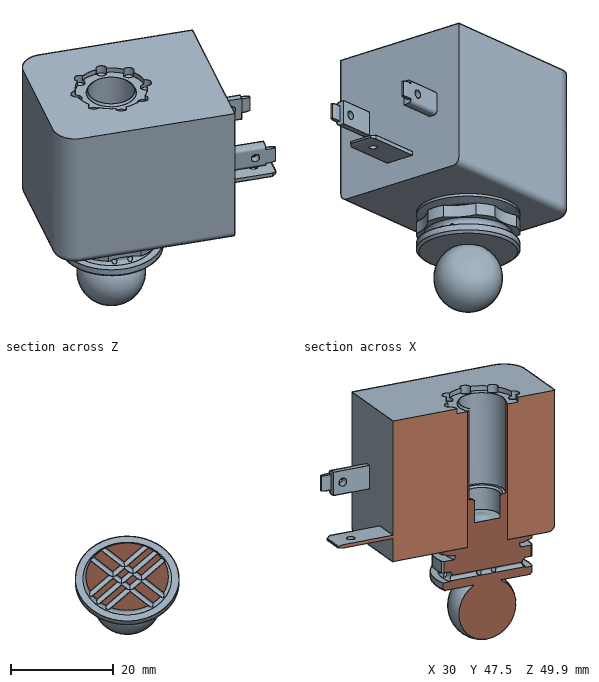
import math

import cadquery as cq


block_width = 30.0
block_height = 29.55
block_front_y = -14.8
block_back_y = 20.75
corner_radius = 4.5
bottom_fillet = 1.45

recess_diameter = 14.05
recess_depth = 1.0
rim_hole_diameter = 2.1
rim_hole_depth = 1.7
rim_hole_count = 8

blade_thickness = 0.8
blade_hole_diameter = 1.65
blade_tip_length = 0.95
blade_tip_thickness = 0.4

center_blade_width = 6.35
center_blade_tip_width = 5.0
center_blade_z = 5.25
center_blade_end_y = 32.65
center_blade_hole_y = 28.8

side_blade_width = 3.25
side_blade_tip_width = 3.1
side_blade_outer_x = 9.45
side_blade_z = 14.25
side_blade_end_y = 30.65
side_blade_hole_y = 26.55

support_thickness = 1.8
support_height = 4.9
support_end_y = 28.65
support_fillet = blade_thickness

flange_diameter = 20.2
collar_rim_z = -0.55
collar_base_z = -1.15
collar_base_diameter = 16.45
neck_diameter = 14.9
neck_foot_diameter = 15.4
nut_top_z = -1.95
nut_bottom_z = -4.4
groove_diameter = 16.0
groove_edge_diameter = 17.25
flange_top_z = -6.4
flange_bottom_z = -8.15
flange_chamfer = 0.5
ball_diameter = 13.4
overall_height = 49.9
ball_bottom_z = block_height - overall_height

land_count = 6
land_width = 3.95
scallop_depth = 0.6

cross_hole_diameter = 1.0
cross_hole_z = -5.75
holes_along_y_count = 3
holes_along_y_pitch = 2.3
holes_along_x_count = 2
holes_along_x_pitch = 3.2

tube_diameter = 9.8
bore_diameter = 9.2
lip_height = 0.5
bore_floor_z = 10.0
inner_mouth_diameter = 8.0
inner_bore_diameter = 7.2
inner_bore_floor_z = 5.0
dome_diameter = 4.1
dome_height = 0.2

recess_floor_z = block_height - recess_depth


def blade(width, tip_width, end_y, hole_y):
    """Flat terminal lying in the XY plane, with a tapered tip and a cross hole."""
    body_length = end_y - blade_tip_length - block_back_y
    body = (
        cq.Workplane("XZ", origin=(0, block_back_y, 0))
        .rect(width, blade_thickness)
        .extrude(-body_length)
    )
    tip = (
        cq.Workplane("XZ", origin=(0, end_y, 0))
        .rect(tip_width, blade_tip_thickness)
        .workplane(offset=blade_tip_length)
        .rect(width, blade_thickness)
        .loft(ruled=True)
    )
    hole = (
        cq.Workplane("XY", origin=(0, hole_y, 0))
        .circle(blade_hole_diameter / 2)
        .extrude(blade_thickness, both=True)
    )
    return body.union(tip).cut(hole)


def side_terminal(side):
    """Upright blade flush with the outer face of its support; side is -1 or +1."""
    blade_x = side * (side_blade_outer_x - blade_thickness / 2)
    upright = (
        blade(side_blade_width, side_blade_tip_width, side_blade_end_y, side_blade_hole_y)
        .rotate((0, 0, 0), (0, 1, 0), 90)
        .translate((blade_x, 0, side_blade_z))
    )
    support_x = side * (side_blade_outer_x - support_thickness / 2)
    support = (
        cq.Workplane("XZ", origin=(support_x, block_back_y, side_blade_z))
        .rect(support_thickness, support_height)
        .extrude(block_back_y - support_end_y)
        .faces(">X" if side > 0 else "<X")
        .edges("|Y")
        .fillet(support_fillet)
    )
    hole = (
        cq.Workplane("YZ", origin=(support_x, side_blade_hole_y, side_blade_z))
        .circle(blade_hole_diameter / 2)
        .extrude(support_thickness, both=True)
    )
    return upright.union(support).cut(hole)


def make_block():
    """Coil block with its terminals, top recess and the hole for the tube."""
    block = (
        cq.Workplane("XY")
        .center(0, (block_front_y + block_back_y) / 2)
        .rect(block_width, block_back_y - block_front_y)
        .extrude(block_height)
        .edges("|Z and <Y")
        .fillet(corner_radius)
    )
    block = block.faces("<Z").edges("not >Y").fillet(bottom_fillet)

    recess = (
        cq.Workplane("XY", origin=(0, 0, recess_floor_z))
        .circle(recess_diameter / 2)
        .extrude(recess_depth)
    )
    rim_holes = (
        cq.Workplane("XY", origin=(0, 0, block_height))
        .polarArray(recess_diameter / 2, 0, 360, rim_hole_count)
        .circle(rim_hole_diameter / 2)
        .extrude(-rim_hole_depth)
    )
    tube_hole = cq.Workplane("XY").circle(tube_diameter / 2).extrude(block_height)
    block = block.cut(recess).cut(rim_holes).cut(tube_hole)

    center_terminal = blade(
        center_blade_width, center_blade_tip_width, center_blade_end_y, center_blade_hole_y
    ).translate((0, 0, center_blade_z))
    block = block.union(center_terminal)
    for side in (-1, 1):
        block = block.union(side_terminal(side))
    return block


def cove_point(waist_radius, foot_radius, waist_z, foot_z):
    """Point on the cove arc that leaves the waist parallel to the axis and ends at the foot."""
    height = waist_z - foot_z
    flare = foot_radius - waist_radius
    arc_radius = (height**2 + flare**2) / (2 * flare)
    half_height = height / 2
    return (waist_radius + arc_radius - math.sqrt(arc_radius**2 - half_height**2), waist_z - half_height)


def dome_point():
    """Point halfway out on the spherical dome at the foot of the bore."""
    rim_radius = dome_diameter / 2
    sphere_radius = (rim_radius**2 + dome_height**2) / (2 * dome_height)
    point_radius = rim_radius / 2
    drop = sphere_radius - math.sqrt(sphere_radius**2 - point_radius**2)
    return (point_radius, inner_bore_floor_z + dome_height - drop)


def turned_plug():
    """Revolved shape of tube, collar, necks, flange and ball, without nut."""
    groove_mid_z = (nut_bottom_z + flange_top_z) / 2
    ball_radius = ball_diameter / 2
    ball_center_z = ball_bottom_z + ball_radius
    ball_top_radius = math.sqrt(ball_radius**2 - (flange_bottom_z - ball_center_z) ** 2)
    neck_arc_point = cove_point(neck_diameter / 2, neck_foot_diameter / 2, collar_base_z, nut_top_z)
    dome_arc_point = dome_point()
    inner_chamfer = (inner_mouth_diameter - inner_bore_diameter) / 2
    return (
        cq.Workplane("XZ")
        .moveTo(0, ball_bottom_z)
        .threePointArc((ball_radius, ball_center_z), (ball_top_radius, flange_bottom_z))
        .lineTo(flange_diameter / 2 - flange_chamfer, flange_bottom_z)
        .lineTo(flange_diameter / 2, flange_bottom_z + flange_chamfer)
        .lineTo(flange_diameter / 2, flange_top_z)
        .lineTo(groove_edge_diameter / 2, flange_top_z)
        .threePointArc(
            (groove_diameter / 2, groove_mid_z),
            (groove_edge_diameter / 2, nut_bottom_z),
        )
        .lineTo(neck_foot_diameter / 2, nut_top_z)
        .threePointArc(neck_arc_point, (neck_diameter / 2, collar_base_z))
        .lineTo(collar_base_diameter / 2, collar_base_z)
        .lineTo(flange_diameter / 2, collar_rim_z)
        .lineTo(flange_diameter / 2, 0)
        .lineTo(tube_diameter / 2, 0)
        .lineTo(tube_diameter / 2, recess_floor_z)
        .lineTo(bore_diameter / 2, recess_floor_z + lip_height)
        .lineTo(bore_diameter / 2, bore_floor_z)
        .lineTo(inner_mouth_diameter / 2, bore_floor_z)
        .lineTo(inner_bore_diameter / 2, bore_floor_z - inner_chamfer)
        .lineTo(inner_bore_diameter / 2, inner_bore_floor_z)
        .lineTo(dome_diameter / 2, inner_bore_floor_z)
        .threePointArc(dome_arc_point, (0, inner_bore_floor_z + dome_height))
        .close()
        .revolve(360, (0, 0, 0), (0, 1, 0))
    )


def nut():
    """Ring of rounded lands, with a concave scallop between each pair."""
    radius = flange_diameter / 2
    pitch = 2 * math.pi / land_count
    land_half_angle = math.asin(land_width / 2 / radius)
    scallop_mid_radius = radius * math.cos(pitch / 2 - land_half_angle) - scallop_depth

    def at(distance, angle):
        return (distance * math.cos(angle), distance * math.sin(angle))

    first_angle = math.pi / 2
    start = at(radius, first_angle - land_half_angle)
    outline = cq.Workplane("XY", origin=(0, 0, nut_bottom_z)).moveTo(*start)
    for index in range(land_count):
        angle = first_angle + index * pitch
        outline = outline.threePointArc(at(radius, angle), at(radius, angle + land_half_angle))
        outline = outline.threePointArc(
            at(scallop_mid_radius, angle + pitch / 2),
            at(radius, angle + pitch - land_half_angle),
        )
    return outline.close().extrude(nut_top_z - nut_bottom_z)


def cross_holes():
    """Straight holes through the groove: three along Y and two along X."""
    along_y = (
        cq.Workplane("XZ", origin=(0, 0, cross_hole_z))
        .rarray(holes_along_y_pitch, 0.5, holes_along_y_count, 1)
        .circle(cross_hole_diameter / 2)
        .extrude(flange_diameter / 2, both=True)
    )
    along_x = (
        cq.Workplane("YZ", origin=(0, 0, cross_hole_z))
        .rarray(holes_along_x_pitch, 0.5, holes_along_x_count, 1)
        .circle(cross_hole_diameter / 2)
        .extrude(flange_diameter / 2, both=True)
    )
    return along_y.union(along_x)


def make_plug():
    """Ball-ended plug with its nut and cross holes."""
    return turned_plug().union(nut()).cut(cross_holes())


block = make_block()
plug = make_plug()

result = cq.Compound.makeCompound([block.val(), plug.val()])